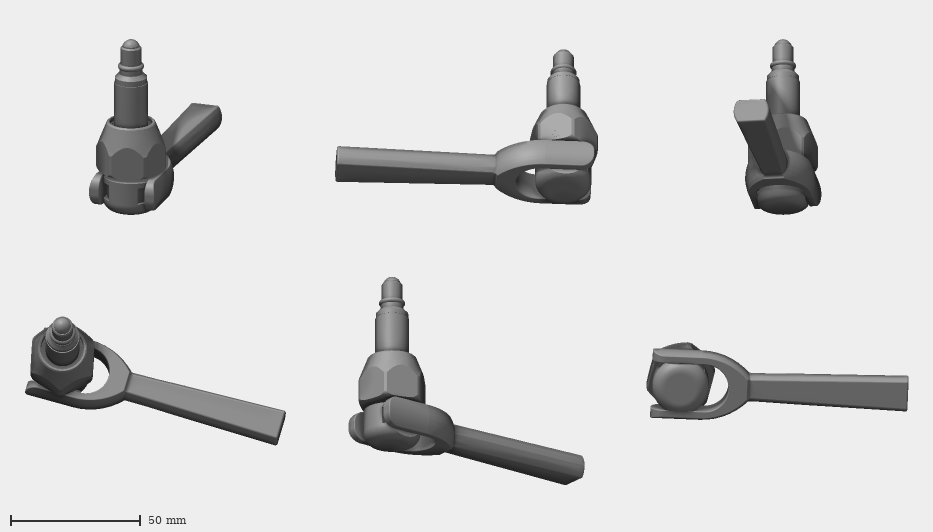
import cadquery as cq
import math

LEVER_TURN = 17.45

STEM_TOP = 69.18
TIP_RADIUS = 6.5 / 2
TIP_STRAIGHT = 0.5
DOME_HEIGHT = 2.2
PLUNGER_RADIUS = 8.0 / 2
PLUNGER_CHAMFER = 0.5
NECK_RADIUS = 9.0 / 2
RING_RADIUS = 10.1 / 2
RING_CENTRE = 58.4
COLLAR_RADIUS = 12.5 / 2
COLLAR_TOP = 54.1
COLLAR_CHAMFER = 1.5
COLLAR_BOTTOM = 52.4
BARREL_RADIUS = 13.0 / 2
BARREL_TOP = 51.9
BARREL_GROOVE_RADIUS = 12.3 / 2

NUT_BOTTOM = 16.1
NUT_TOP = 35.9
NUT_ACROSS_FLATS = 24.0
NUT_CORNER_RADIUS = 13.5
NUT_BOTTOM_FILLET = 1.7
NUT_CONE_BOTTOM = 25.3
NUT_RIM_RADIUS = 9.5
NUT_RIM_CHAMFER = 0.5
BORE_RADIUS = 16.5 / 2
BORE_CHAMFER = 0.25
BORE_DEPTH = 1.7
INNER_BORE_RADIUS = 14.92 / 2
INNER_BORE_DEPTH = 0.3
PIN_RADIUS = 3.0 / 2
PIN_HOLE_RADIUS = 3.05 / 2
PIN_HEIGHT = 19.1
PIN_GAP_DEPTH = 3.0

KNOB_RADIUS = 10.9
KNOB_TOP = 14.0
KNOB_FILLET = 4.85
KNOB_NECK_RADIUS = 10.2 / 2
KNOB_NECK_ACROSS_FLATS = 7.4
GROOVE_RADIUS = 9.25
GROOVE_BOTTOM = 5.55
GROOVE_TOP = 12.05
GROOVE_STOP_WIDTH = 11.6

LEVER_MID = 9.1
FORK_HEIGHT = 12.2
FORK_HALF_WIDTH = 13.4
FORK_SLOT_RADIUS = 9.2
FORK_SLOT_CENTRE = 9.3
FORK_TIP = -11.2
FORK_TIP_RADIUS = 5.0
FORK_STRAIGHT_END = 7.8
FORK_SIDE_RADIUS = 25.4
FORK_BULGE = 1.4
FORK_BACK = 25.9
FORK_EDGE_FILLET = 0.4

HANDLE_HEIGHT = 9.2
HANDLE_START = 24.0
HANDLE_END = 87.75
HANDLE_START_HALF_WIDTH = 5.45
HANDLE_END_HALF_WIDTH = 6.9
HANDLE_START_BULGE = 1.9
HANDLE_END_BULGE = 1.5
STEP_ROUND = (FORK_HEIGHT - HANDLE_HEIGHT) / 2
HANDLE_EDGE_FILLET = 0.7


def make_stem():
    """Turned stem: barrel, grooved collar, neck with a rounded ring, plunger and domed tip."""
    dome_base = STEM_TOP - DOME_HEIGHT
    dome_sphere = (TIP_RADIUS ** 2 + DOME_HEIGHT ** 2) / (2 * DOME_HEIGHT)
    dome_mid_x = TIP_RADIUS / 2
    dome_mid_z = STEM_TOP - dome_sphere + math.sqrt(dome_sphere ** 2 - dome_mid_x ** 2)
    plunger_top = dome_base - TIP_STRAIGHT
    stem_bottom = NUT_TOP - BORE_DEPTH - INNER_BORE_DEPTH
    ring_round = RING_RADIUS - PLUNGER_RADIUS
    ring_bottom = RING_CENTRE - math.sqrt(ring_round ** 2 - (NECK_RADIUS - PLUNGER_RADIUS) ** 2)
    ring_top = RING_CENTRE + ring_round
    return (
        cq.Workplane("XZ")
        .moveTo(0, stem_bottom)
        .lineTo(BARREL_RADIUS, stem_bottom)
        .lineTo(BARREL_RADIUS, BARREL_TOP)
        .lineTo(BARREL_GROOVE_RADIUS, BARREL_TOP)
        .lineTo(BARREL_GROOVE_RADIUS, COLLAR_BOTTOM)
        .lineTo(COLLAR_RADIUS, COLLAR_BOTTOM)
        .lineTo(COLLAR_RADIUS, COLLAR_TOP)
        .lineTo(COLLAR_RADIUS - COLLAR_CHAMFER, COLLAR_TOP + COLLAR_CHAMFER)
        .lineTo(NECK_RADIUS, COLLAR_TOP + COLLAR_CHAMFER)
        .lineTo(NECK_RADIUS, ring_bottom)
        .threePointArc((RING_RADIUS, RING_CENTRE), (PLUNGER_RADIUS, ring_top))
        .lineTo(PLUNGER_RADIUS, plunger_top - PLUNGER_CHAMFER)
        .lineTo(PLUNGER_RADIUS - PLUNGER_CHAMFER, plunger_top)
        .lineTo(TIP_RADIUS, plunger_top)
        .lineTo(TIP_RADIUS, dome_base)
        .threePointArc((dome_mid_x, dome_mid_z), (0, STEM_TOP))
        .close()
        .revolve(360, (0, 0, 0), (0, 1, 0))
    )


def make_nut():
    """Hexagon nut with flats facing X, trimmed by a turned envelope and bored from the top."""
    nut_height = NUT_TOP - NUT_BOTTOM
    across_corners = NUT_ACROSS_FLATS / math.cos(math.radians(30))
    hexagon = (
        cq.Workplane("XY", origin=(0, 0, NUT_BOTTOM))
        .polygon(6, across_corners)
        .extrude(nut_height)
        .rotate((0, 0, 0), (0, 0, 1), 30)
    )
    envelope = (
        cq.Workplane("XZ")
        .moveTo(0, NUT_BOTTOM)
        .lineTo(NUT_CORNER_RADIUS - NUT_BOTTOM_FILLET, NUT_BOTTOM)
        .radiusArc((NUT_CORNER_RADIUS, NUT_BOTTOM + NUT_BOTTOM_FILLET), -NUT_BOTTOM_FILLET)
        .lineTo(NUT_CORNER_RADIUS, NUT_CONE_BOTTOM)
        .lineTo(NUT_RIM_RADIUS, NUT_TOP - NUT_RIM_CHAMFER)
        .lineTo(NUT_RIM_RADIUS - NUT_RIM_CHAMFER, NUT_TOP)
        .lineTo(0, NUT_TOP)
        .close()
        .revolve(360, (0, 0, 0), (0, 1, 0))
    )
    ledge = NUT_TOP - BORE_DEPTH
    bore = (
        cq.Workplane("XZ")
        .moveTo(0, NUT_TOP)
        .lineTo(BORE_RADIUS + BORE_CHAMFER, NUT_TOP)
        .lineTo(BORE_RADIUS, NUT_TOP - BORE_CHAMFER)
        .lineTo(BORE_RADIUS, ledge)
        .lineTo(INNER_BORE_RADIUS, ledge)
        .lineTo(INNER_BORE_RADIUS, ledge - INNER_BORE_DEPTH)
        .lineTo(0, ledge - INNER_BORE_DEPTH)
        .close()
        .revolve(360, (0, 0, 0), (0, 1, 0))
    )
    pin_gap = (
        cq.Workplane("YZ", origin=(-NUT_ACROSS_FLATS / 2, 0, PIN_HEIGHT))
        .circle(PIN_HOLE_RADIUS)
        .circle(PIN_RADIUS)
        .extrude(PIN_GAP_DEPTH)
    )
    return hexagon.intersect(envelope).cut(bore).cut(pin_gap)


def make_knob_neck():
    """Short round neck with two flats facing Y, joining the knob to the nut."""
    neck_height = NUT_BOTTOM - KNOB_TOP
    neck = cq.Workplane("XY", origin=(0, 0, KNOB_TOP)).circle(KNOB_NECK_RADIUS).extrude(neck_height)
    flats = cq.Workplane("XY", origin=(0, 0, KNOB_TOP)).rect(
        2 * KNOB_NECK_RADIUS, KNOB_NECK_ACROSS_FLATS
    )
    return neck.intersect(flats.extrude(neck_height))


def make_knob():
    """Round knob with a rounded underside, side flats for the fork and a groove facing each arm."""
    knob = cq.Workplane("XY").circle(KNOB_RADIUS).extrude(KNOB_TOP)
    knob = knob.faces("<Z").edges().fillet(KNOB_FILLET)
    between_arms = cq.Workplane("XY").rect(2 * FORK_SLOT_RADIUS, 2 * KNOB_RADIUS).extrude(KNOB_TOP)
    knob = knob.intersect(between_arms)
    groove_height = GROOVE_TOP - GROOVE_BOTTOM
    groove_plane = cq.Workplane("XY", origin=(0, 0, GROOVE_BOTTOM))
    groove = groove_plane.circle(KNOB_RADIUS).circle(GROOVE_RADIUS).extrude(groove_height)
    stop = groove_plane.rect(GROOVE_STOP_WIDTH, 2 * KNOB_RADIUS).extrude(groove_height)
    return knob.cut(groove.cut(stop))


def bulged_half_section(origin, outer):
    """Half section of the fork whose outer face bows outward by FORK_BULGE."""
    half_height = FORK_HEIGHT / 2
    return (
        cq.Workplane("XZ", origin=origin)
        .moveTo(0, -half_height)
        .lineTo(outer - FORK_BULGE, -half_height)
        .threePointArc((outer, 0), (outer - FORK_BULGE, half_height))
        .lineTo(0, half_height)
        .close()
    )


def make_fork_half():
    """The +X half of the fork: a straight arm that curves in toward the handle."""
    shoulder = FORK_BACK + STEP_ROUND
    arm = bulged_half_section((0, FORK_STRAIGHT_END, 0), FORK_HALF_WIDTH)
    arm = arm.extrude(FORK_STRAIGHT_END - FORK_TIP)
    curve_centre = FORK_HALF_WIDTH - FORK_SIDE_RADIUS
    bend_origin = (curve_centre, FORK_STRAIGHT_END, 0)
    bend = bulged_half_section(bend_origin, FORK_SIDE_RADIUS)
    bend = bend.revolve(90, (0, 0, 0), (0, 1, 0))
    bend_limit = cq.Workplane("XY").box(
        FORK_HALF_WIDTH, shoulder - FORK_STRAIGHT_END, FORK_HEIGHT, centered=(False, False, True)
    )
    bend = bend.intersect(bend_limit.translate((0, FORK_STRAIGHT_END, 0)))
    return arm.union(bend)


def make_fork():
    """Two-armed fork with rounded tips, a round-ended slot and concave steps down to the handle."""
    half_height = FORK_HEIGHT / 2
    handle_half_height = HANDLE_HEIGHT / 2
    shoulder = FORK_BACK + STEP_ROUND
    half = make_fork_half()
    fork = half.union(half.mirror("YZ"))

    tip_flat = half_height - FORK_TIP_RADIUS
    tip_centre = FORK_TIP + FORK_TIP_RADIUS
    arc_offset = FORK_TIP_RADIUS * math.sqrt(0.5)
    side_outline = (
        cq.Workplane("YZ", origin=(-FORK_HALF_WIDTH, 0, 0))
        .moveTo(tip_centre, half_height)
        .lineTo(FORK_BACK, half_height)
        .radiusArc((shoulder, handle_half_height), -STEP_ROUND)
        .lineTo(shoulder, -handle_half_height)
        .radiusArc((FORK_BACK, -half_height), -STEP_ROUND)
        .lineTo(tip_centre, -half_height)
        .threePointArc(
            (tip_centre - arc_offset, -tip_flat - arc_offset),
            (FORK_TIP, -tip_flat),
        )
        .lineTo(FORK_TIP, tip_flat)
        .threePointArc(
            (tip_centre - arc_offset, tip_flat + arc_offset),
            (tip_centre, half_height),
        )
        .close()
        .extrude(2 * FORK_HALF_WIDTH)
    )
    slot = (
        cq.Workplane("XY", origin=(0, 0, -half_height))
        .moveTo(-FORK_SLOT_RADIUS, FORK_TIP)
        .lineTo(-FORK_SLOT_RADIUS, FORK_SLOT_CENTRE)
        .threePointArc(
            (0, FORK_SLOT_CENTRE + FORK_SLOT_RADIUS),
            (FORK_SLOT_RADIUS, FORK_SLOT_CENTRE),
        )
        .lineTo(FORK_SLOT_RADIUS, FORK_TIP)
        .close()
        .extrude(FORK_HEIGHT)
    )
    fork = fork.intersect(side_outline).cut(slot)
    return fork.faces(">Z or <Z").edges("not <Y").fillet(FORK_EDGE_FILLET)


def handle_section(position, half_width, bulge):
    """Closed handle cross-section with flat top and bottom and bowed sides."""
    half_height = HANDLE_HEIGHT / 2
    flat = half_width - bulge
    side_radius = (half_height ** 2 + bulge ** 2) / (2 * bulge)
    return (
        cq.Workplane("XZ", origin=(0, position, 0))
        .moveTo(-flat, -half_height)
        .lineTo(flat, -half_height)
        .radiusArc((half_width, 0), -side_radius)
        .radiusArc((flat, half_height), -side_radius)
        .lineTo(-flat, half_height)
        .radiusArc((-half_width, 0), -side_radius)
        .radiusArc((-flat, -half_height), -side_radius)
        .close()
        .wire()
        .val()
    )


def make_handle():
    """Handle that widens toward its free end, with softened edges."""
    sections = [
        handle_section(HANDLE_START, HANDLE_START_HALF_WIDTH, HANDLE_START_BULGE),
        handle_section(HANDLE_END, HANDLE_END_HALF_WIDTH, HANDLE_END_BULGE),
    ]
    handle = cq.Workplane(cq.Solid.makeLoft(sections, True))
    return handle.edges("not <Y").fillet(HANDLE_EDGE_FILLET)


lever = make_fork().union(make_handle()).translate((0, 0, LEVER_MID))
lever_and_knob = lever.union(make_knob()).rotate((0, 0, 0), (0, 0, 1), LEVER_TURN)

result = lever_and_knob.union(make_knob_neck()).union(make_nut()).union(make_stem())